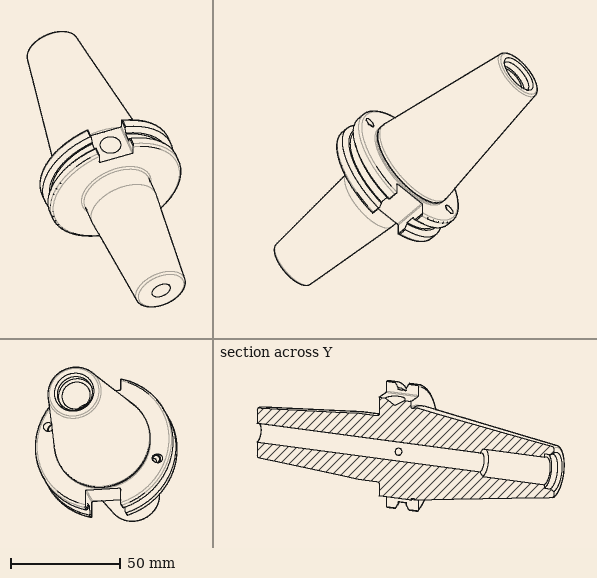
import cadquery as cq
import math

total_length = 148.2

gauge_diameter = 44.5
taper_length = 68.2
taper_ratio = 7 / 24
gauge_band = 1.6
neck_diameter = 43.6
neck_fillet = 0.5
taper_end_round = 0.9

flange_diameter = 63.5
flange_start = 71.3
flange_end = 87.3
flange_round = 1.0
groove_center = 79.5
groove_mouth_width = 7.1
groove_floor_width = 4.0
groove_floor_diameter = 56.3
groove_half_angle = 30.0

nose_diameter = 32.0
nose_end_diameter = 24.0
nose_taper_start = 97.5
nose_base_fillet = 0.9
nose_end_round = 1.0

through_diameter = 8.9
mouth_diameter = 18.4
mouth_depth = 1.8
counterbore_diameter = 16.3
counterbore_depth = 4.7
thread_bore_diameter = 13.0
thread_bore_depth = 35.6
drill_point_angle = 118.0

slot_width = 16.3
slot_corner_radius = 0.5
slot_edge_chamfer = 0.6
upper_slot_height = 24.9
lower_slot_height = 22.5
dimple_diameter = 9.5

coolant_angle = 20.0
inlet_diameter = 3.3
inlet_mouth_diameter = 4.2
inlet_mouth_depth = 2.0
inlet_radius = 27.0
inlet_tilt = 30.0
cross_hole_diameter = 3.3
cross_mouth_diameter = 4.0
cross_mouth_depth = 1.0

flange_radius = flange_diameter / 2
flange_width = flange_end - flange_start


def cone_depth(large_diameter, small_diameter=0.0):
    """Axial length of a drill-point cone between two diameters."""
    return (large_diameter - small_diameter) / 2 / math.tan(math.radians(drill_point_angle / 2))


def revolve_about_x(outline):
    return outline.close().revolve(360, (0, 0, 0), (1, 0, 0))


def make_taper():
    small_radius = gauge_diameter / 2 - taper_length * taper_ratio / 2
    band_end = taper_length + gauge_band
    cone = revolve_about_x(
        cq.Workplane("XY")
        .lineTo(0, small_radius)
        .lineTo(taper_length, gauge_diameter / 2)
        .lineTo(band_end, gauge_diameter / 2)
        .lineTo(band_end, 0)
    ).faces("<X").edges().fillet(taper_end_round)
    neck_radius = neck_diameter / 2
    neck = revolve_about_x(
        cq.Workplane("XY")
        .moveTo(band_end, 0)
        .lineTo(band_end, neck_radius)
        .lineTo(flange_start - neck_fillet, neck_radius)
        .radiusArc((flange_start, neck_radius + neck_fillet), -neck_fillet)
        .lineTo(flange_start, 0)
    )
    return cone.union(neck)


def make_nose():
    base_radius = nose_diameter / 2
    nose = revolve_about_x(
        cq.Workplane("XY")
        .moveTo(flange_end, 0)
        .lineTo(flange_end, base_radius + nose_base_fillet)
        .radiusArc((flange_end + nose_base_fillet, base_radius), -nose_base_fillet)
        .lineTo(nose_taper_start, base_radius)
        .lineTo(total_length, nose_end_diameter / 2)
        .lineTo(total_length, 0)
    )
    return nose.faces(">X").edges().fillet(nose_end_round)


def make_slot(floor_height, side):
    """Drive slot cutter above (side = 1) or below (side = -1) the axis."""
    slot_depth = flange_radius - floor_height
    middle_height = side * (floor_height + slot_depth / 2)
    floor_edges = "<Z" if side > 0 else ">Z"
    return (
        cq.Workplane("XY")
        .box(flange_width, slot_width, slot_depth)
        .faces(floor_edges).edges("|X").fillet(slot_corner_radius)
        .translate((flange_start + flange_width / 2, 0, middle_height))
    )


def make_slot_edge_chamfer(side):
    """Prism that breaks both outer edges of a drive slot."""
    half_width = slot_width / 2
    edge_height = math.sqrt(flange_radius**2 - half_width**2)
    chamfer_bottom = edge_height - slot_edge_chamfer
    rise = flange_radius - chamfer_bottom
    return (
        cq.Workplane("YZ", origin=(flange_start, 0, 0))
        .moveTo(-half_width, side * chamfer_bottom)
        .lineTo(half_width, side * chamfer_bottom)
        .lineTo(half_width + rise, side * flange_radius)
        .lineTo(-half_width - rise, side * flange_radius)
        .close()
        .extrude(flange_width)
    )


def make_groove():
    floor_radius = groove_floor_diameter / 2
    half_mouth = groove_mouth_width / 2
    half_floor = groove_floor_width / 2
    wall_top = flange_radius - (half_mouth - half_floor) / math.tan(math.radians(groove_half_angle))
    return revolve_about_x(
        cq.Workplane("XY")
        .moveTo(groove_center - half_mouth, flange_radius)
        .lineTo(groove_center - half_floor, wall_top)
        .lineTo(groove_center - half_floor, floor_radius)
        .lineTo(groove_center + half_floor, floor_radius)
        .lineTo(groove_center + half_floor, wall_top)
        .lineTo(groove_center + half_mouth, flange_radius)
    )


def make_flange():
    flange = (
        cq.Workplane("YZ", origin=(flange_start, 0, 0))
        .circle(flange_radius)
        .extrude(flange_width)
        .edges()
        .fillet(flange_round)
        .cut(make_groove())
    )
    for floor_height, side in ((upper_slot_height, 1), (lower_slot_height, -1)):
        flange = flange.cut(make_slot(floor_height, side)).cut(make_slot_edge_chamfer(side))
    return flange


def make_bore():
    cone_end = thread_bore_depth + cone_depth(thread_bore_diameter, through_diameter)
    return revolve_about_x(
        cq.Workplane("XY")
        .lineTo(0, mouth_diameter / 2)
        .lineTo(mouth_depth, counterbore_diameter / 2)
        .lineTo(counterbore_depth, counterbore_diameter / 2)
        .lineTo(counterbore_depth, thread_bore_diameter / 2)
        .lineTo(thread_bore_depth, thread_bore_diameter / 2)
        .lineTo(cone_end, through_diameter / 2)
        .lineTo(total_length, through_diameter / 2)
        .lineTo(total_length, 0)
    )


def make_dimple():
    """Conical dimple in the floor of the upper slot."""
    depth = cone_depth(dimple_diameter)
    cone = cq.Solid.makeCone(
        dimple_diameter / 2, 0, depth,
        pnt=cq.Vector(groove_center, 0, upper_slot_height),
        dir=cq.Vector(0, 0, -1),
    )
    return cq.Workplane(cone)


def make_stepped_hole(start, direction, length, diameter, mouth_diameter, mouth_depth):
    """Hole with a wider mouth; the mouth also runs outward past the start point."""
    hole = cq.Solid.makeCylinder(diameter / 2, length, start, direction)
    mouth = cq.Solid.makeCylinder(
        mouth_diameter / 2, mouth_depth + mouth_diameter, start - direction * mouth_diameter, direction
    )
    return cq.Workplane(hole).union(cq.Workplane(mouth))


def make_coolant_passage(half_turn):
    """Tilted inlet from the flange face that meets a radial hole from the groove to the bore."""
    tilt = math.radians(inlet_tilt)
    inlet = make_stepped_hole(
        cq.Vector(flange_start, inlet_radius, 0),
        cq.Vector(math.cos(tilt), -math.sin(tilt), 0),
        (groove_center - flange_start) / math.cos(tilt),
        inlet_diameter, inlet_mouth_diameter, inlet_mouth_depth,
    )
    groove_floor_radius = groove_floor_diameter / 2
    cross_hole = make_stepped_hole(
        cq.Vector(groove_center, groove_floor_radius, 0),
        cq.Vector(0, -1, 0),
        groove_floor_radius,
        cross_hole_diameter, cross_mouth_diameter, cross_mouth_depth,
    )
    passage = inlet.union(cross_hole)
    return passage.rotate((0, 0, 0), (1, 0, 0), coolant_angle + half_turn)


result = make_taper().union(make_flange()).union(make_nose())
result = result.cut(make_bore()).cut(make_dimple())
for half_turn in (0, 180):
    result = result.cut(make_coolant_passage(half_turn))